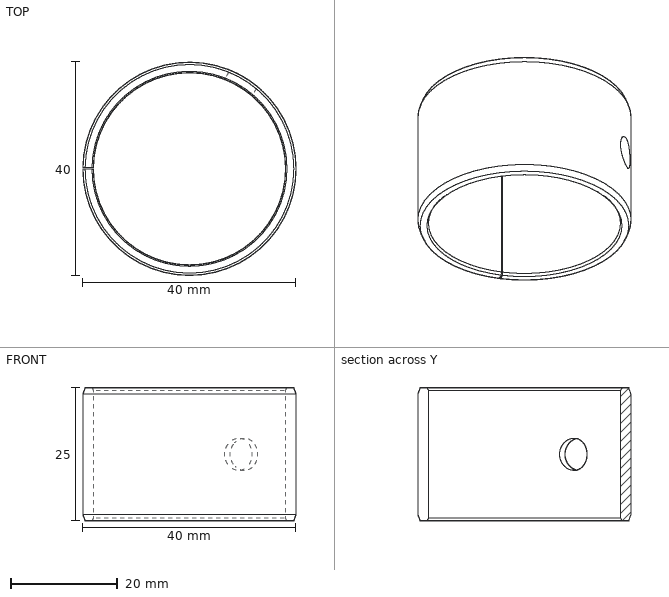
import cadquery as cq

outer_diameter = 40.0
wall = 2.0
height = 25.0

outer_chamfer_height = 1.2
outer_chamfer_depth = 0.45
inner_chamfer_height = 0.5
inner_chamfer_depth = 0.3

slit_width = 0.25
slit_offset = 0.1

hole_diameter = 6.0
hole_angle = 59.0

outer_radius = outer_diameter / 2
inner_radius = outer_radius - wall
half_height = height / 2


def sleeve():
    """Revolve the chamfered wall section around Z."""
    outer_shoulder = half_height - outer_chamfer_height
    inner_shoulder = half_height - inner_chamfer_height
    outer_rim = outer_radius - outer_chamfer_depth
    inner_rim = inner_radius + inner_chamfer_depth
    section = [
        (inner_radius, -inner_shoulder),
        (inner_rim, -half_height),
        (outer_rim, -half_height),
        (outer_radius, -outer_shoulder),
        (outer_radius, outer_shoulder),
        (outer_rim, half_height),
        (inner_rim, half_height),
        (inner_radius, inner_shoulder),
    ]
    return cq.Workplane("XZ").polyline(section).close().revolve(360, (0, 0), (0, 1))


def slit():
    """Thin slab that opens the wall along its full height on the -X side."""
    slab = cq.Workplane("XY").box(outer_radius, slit_width, height)
    return slab.translate((-outer_radius, slit_offset, 0))


def radial_hole():
    """Cylinder from the axis outwards, turned to the hole's angle."""
    cylinder = cq.Workplane("YZ").circle(hole_diameter / 2).extrude(outer_diameter)
    return cylinder.rotate((0, 0, 0), (0, 0, 1), hole_angle)


result = sleeve().cut(slit()).cut(radial_hole())